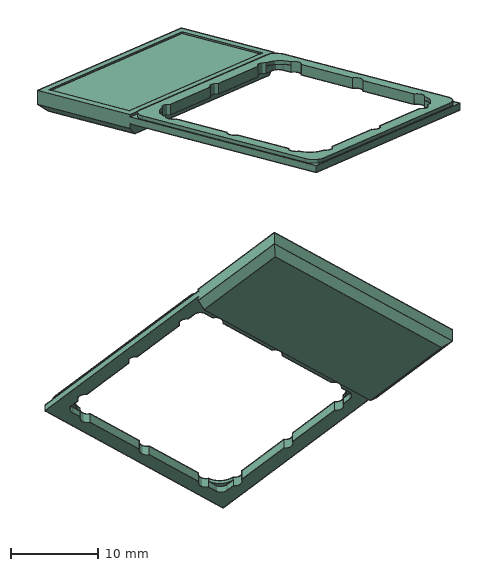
import cadquery as cq

length = 40.45
width = 26.9
height = 2.75

block_length = 13.43
block_top = 2.6
block_chamfer = 0.9

recess_margin_x = 0.9
recess_margin_y = 1.0
recess_depth = 0.2

plate_bottom = 1.45
plate_top = 2.3
lip_inset = 0.15
lip_radius = 1.5

window_size = 23.42
lip_window_radius = 2.2
plate_window_radius = 0.9
notch_radius = 0.85
notch_reach = 0.45
notch_pitch = 8.95

frame_length = length - block_length
frame_x = block_length + frame_length / 2
mid_y = width / 2


def box(x_size, y_size, z_low, z_high, x_mid):
    """Box centred on the part's long axis, spanning z_low to z_high."""
    return (
        cq.Workplane("XY", origin=(x_mid, mid_y, z_low))
        .rect(x_size, y_size)
        .extrude(z_high - z_low)
    )


def make_block():
    """Grip block with chamfered lower edges on its three free sides and a recess on top."""
    block = box(block_length, width, 0, block_top, block_length / 2)
    block = block.faces("<Z").edges("<X or <Y or >Y").chamfer(block_chamfer)
    recess = box(
        block_length - 2 * recess_margin_x,
        width - 2 * recess_margin_y,
        block_top - recess_depth,
        block_top,
        block_length / 2,
    )
    return block.cut(recess)


def make_frame():
    """Plate carrying the raised lip."""
    plate = box(frame_length, width, plate_bottom, plate_top, frame_x)
    lip = box(frame_length - 2 * lip_inset, width - 2 * lip_inset, plate_top, height, frame_x)
    return plate.union(lip.edges("|Z").fillet(lip_radius))


def make_window(z_low, z_high, corner_radius):
    """Rounded square cutter, spanning z_low to z_high."""
    window = box(window_size, window_size, z_low, z_high, frame_x)
    return window.edges("|Z").fillet(corner_radius)


def make_notches():
    """Cutters for the three round notches on each side of the window."""
    notch_offset = window_size / 2 + notch_reach - notch_radius
    centres = []
    for along in (-notch_pitch, 0, notch_pitch):
        for across in (-notch_offset, notch_offset):
            centres.append((along, across))
            centres.append((across, along))
    return (
        cq.Workplane("XY", origin=(frame_x, mid_y, plate_bottom))
        .pushPoints(centres)
        .circle(notch_radius)
        .extrude(height - plate_bottom)
    )


result = (
    make_block()
    .union(make_frame())
    .cut(make_window(plate_bottom, plate_top, plate_window_radius))
    .cut(make_window(plate_top, height, lip_window_radius))
    .cut(make_notches())
)